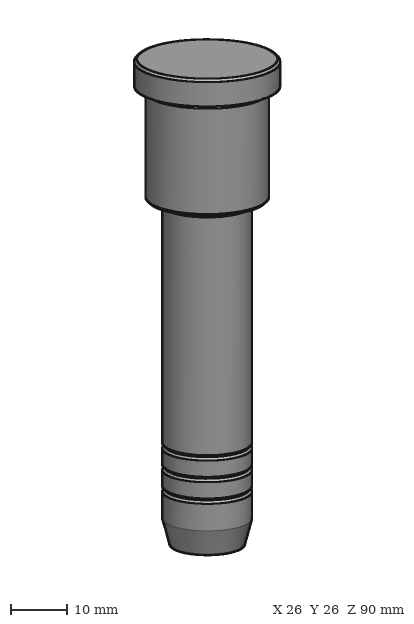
import cadquery as cq
import math

total_length = 90.0
head_height = 5.0
collar_length = 21.0
relief_length = 1.0
taper_length = 5.0

head_diameter = 26.0
collar_diameter = 22.0
shank_diameter = 16.0
relief_diameter = 15.0

head_chamfer = 0.5
collar_chamfer = 0.5
tip_fillet = 0.5
taper_angle = 15.0

groove_depth = 0.5
shank_groove_count = 3
shank_groove_pitch = 4.0
lowest_groove_height = 10.5

head_bottom = total_length - head_height
collar_bottom = head_bottom - collar_length
shank_top = collar_bottom - relief_length
tip_diameter = shank_diameter - 2 * taper_length * math.tan(math.radians(taper_angle))


def cylinder(diameter, bottom, top):
    """Solid cylinder on the pin axis between two heights."""
    return cq.Workplane("XY").workplane(offset=bottom).circle(diameter / 2).extrude(top - bottom)


def make_head():
    head = cylinder(head_diameter, head_bottom, total_length)
    return head.faces(">Z").edges().chamfer(head_chamfer)


def make_collar():
    collar = cylinder(collar_diameter, collar_bottom, head_bottom)
    return collar.faces("<Z").edges().chamfer(collar_chamfer)


def make_tip():
    """Tapered lead-in with a rounded lower edge."""
    tip = (
        cq.Workplane("XY")
        .circle(tip_diameter / 2)
        .workplane(offset=taper_length)
        .circle(shank_diameter / 2)
        .loft(ruled=True)
    )
    return tip.faces("<Z").edges().fillet(tip_fillet)


def v_groove(diameter, center_height):
    """Ring cutter that leaves a V groove in a cylinder of the given diameter."""
    radius = diameter / 2
    return (
        cq.Workplane("XZ")
        .moveTo(radius, center_height - groove_depth)
        .lineTo(radius - groove_depth, center_height)
        .lineTo(radius, center_height + groove_depth)
        .close()
        .revolve(360, (0, 0, 0), (0, 1, 0))
    )


def make_shank():
    shank = cylinder(shank_diameter, taper_length, shank_top)
    for index in range(shank_groove_count):
        groove_height = lowest_groove_height + index * shank_groove_pitch
        shank = shank.cut(v_groove(shank_diameter, groove_height))
    return shank


relief = cylinder(relief_diameter, shank_top, collar_bottom)
grooved_collar = make_collar().cut(v_groove(collar_diameter, head_bottom - groove_depth))

result = make_tip().union(make_shank()).union(relief).union(grooved_collar).union(make_head())